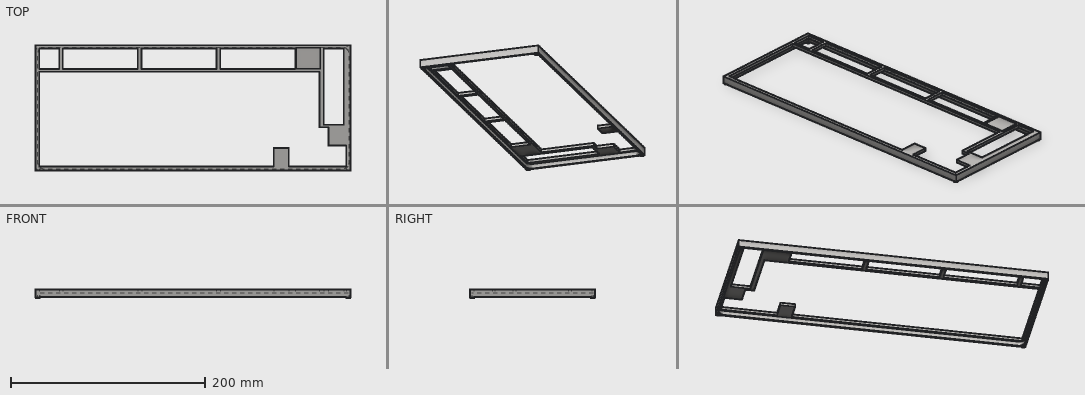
import cadquery as cq

LENGTH = 324.34
WIDTH = 129.07
BODY_HEIGHT = 8.0
FOOT_HEIGHT = 1.0
FOOT_DIAMETER = 4.0
FOOT_INSET = 2.5

PLATE_THICKNESS = 3.25
SKIRT = 2.0
CAVITY_CORNER_RADIUS = 6.25

LEFT_RIM = 4.0
FRONT_RIM = 4.25
BACK_RIM = 3.5
RIGHT_RIM = 4.5

KEY_PITCH = 19.05
GROUP_GAP = KEY_PITCH / 4
ROW_CLEARANCE = 2.0

MAIN_ROWS = 5
MAIN_LENGTH = 288.25
MAIN_DEPTH = MAIN_ROWS * KEY_PITCH + ROW_CLEARANCE
MAIN_RIGHT = LEFT_RIM + MAIN_LENGTH
MAIN_BACK = FRONT_RIM + MAIN_DEPTH

WINDOW_BACK = WIDTH - BACK_RIM
WINDOW_DEPTH = 21.0
WINDOW_FRONT = WINDOW_BACK - WINDOW_DEPTH
WINDOW_BAR = 4.0
ESCAPE_LENGTH = 20.3
FUNCTION_WINDOWS = 3
FUNCTION_KEYS = 4
FUNCTION_PITCH = FUNCTION_KEYS * KEY_PITCH + GROUP_GAP
FUNCTION_LENGTH = FUNCTION_PITCH - WINDOW_BAR
FUNCTION_START = LEFT_RIM + ESCAPE_LENGTH + WINDOW_BAR
FUNCTION_END = FUNCTION_START + FUNCTION_WINDOWS * FUNCTION_PITCH - WINDOW_BAR

SIDE_ROWS = 4
SIDE_BAR = 4.5
SIDE_LEFT = MAIN_RIGHT + SIDE_BAR
SIDE_LENGTH = 20.55
SIDE_DEPTH = SIDE_ROWS * KEY_PITCH + ROW_CLEARANCE
SIDE_FRONT = WINDOW_BACK - SIDE_DEPTH

STEP_BAR = 3.0
STEP_FRONT = SIDE_FRONT - STEP_BAR
BLOCK_LEFT = 301.55
BLOCK_FRONT = 25.7

TAB_LEFT = 245.25
TAB_LENGTH = 15.5
TAB_RIGHT = TAB_LEFT + TAB_LENGTH
TAB_BACK = 23.25

BADGE_GAP = 1.5
BADGE_LEFT = FUNCTION_END + BADGE_GAP
BADGE_LENGTH = 24.5
BADGE_DEPTH = 22.0
BADGE_RECESS = 0.5


def cuboid(left, front, bottom, length, depth, height):
    """Box given by its lower left front corner and its sizes."""
    return cq.Workplane("XY").box(length, depth, height, centered=False).translate((left, front, bottom))


def window(left, front, length, depth):
    """Cutter for a rectangular opening through the whole height."""
    return cuboid(left, front, 0, length, depth, BODY_HEIGHT)


def cavity():
    """Cutter that hollows the underside and leaves the plate and the skirt."""
    hollow = cuboid(SKIRT, SKIRT, 0, LENGTH - 2 * SKIRT, WIDTH - 2 * SKIRT, BODY_HEIGHT - PLATE_THICKNESS)
    return hollow.edges("|Z").fillet(CAVITY_CORNER_RADIUS)


def main_opening():
    """Cutter for the large opening, stepped at the right and notched by the tab."""
    right = LENGTH - RIGHT_RIM
    outline = [
        (LEFT_RIM, FRONT_RIM),
        (TAB_LEFT, FRONT_RIM),
        (TAB_LEFT, TAB_BACK),
        (TAB_RIGHT, TAB_BACK),
        (TAB_RIGHT, FRONT_RIM),
        (right, FRONT_RIM),
        (right, BLOCK_FRONT),
        (BLOCK_LEFT, BLOCK_FRONT),
        (BLOCK_LEFT, STEP_FRONT),
        (MAIN_RIGHT, STEP_FRONT),
        (MAIN_RIGHT, MAIN_BACK),
        (LEFT_RIM, MAIN_BACK),
    ]
    return cq.Workplane("XY").polyline(outline).close().extrude(BODY_HEIGHT)


def feet():
    """Four round feet below the corners of the skirt."""
    centres = [
        (x, y)
        for x in (FOOT_INSET, LENGTH - FOOT_INSET)
        for y in (FOOT_INSET, WIDTH - FOOT_INSET)
    ]
    return cq.Workplane("XY").pushPoints(centres).circle(FOOT_DIAMETER / 2).extrude(-FOOT_HEIGHT)


frame = window(0, 0, LENGTH, WIDTH).cut(cavity()).cut(main_opening())

frame = frame.cut(window(LEFT_RIM, WINDOW_FRONT, ESCAPE_LENGTH, WINDOW_DEPTH))
for index in range(FUNCTION_WINDOWS):
    start = FUNCTION_START + index * FUNCTION_PITCH
    frame = frame.cut(window(start, WINDOW_FRONT, FUNCTION_LENGTH, WINDOW_DEPTH))
frame = frame.cut(window(SIDE_LEFT, SIDE_FRONT, SIDE_LENGTH, SIDE_DEPTH))

badge_floor = BODY_HEIGHT - BADGE_RECESS
frame = frame.cut(cuboid(BADGE_LEFT, WINDOW_FRONT, badge_floor, BADGE_LENGTH, BADGE_DEPTH, BADGE_RECESS))

result = frame.union(feet())